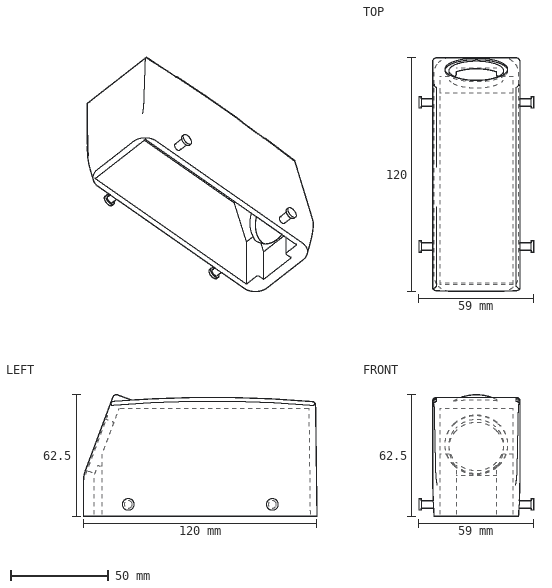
import math

import cadquery as cq

HALF_WIDTH = 22.5
HALF_LENGTH = 60.0
CROWN_HEIGHT = 61.15
CROWN_Y = -6.4
CROWN_RADIUS = 600.0
ROOF_FILLET = 2.0

ABOVE_PART = 70.0
MARGIN = 3.0

BEND_TOP = 23.4
BEND_BOTTOM = 6.8
SIDE_INSET = 0.4

FRONT_DRAFT = math.radians(0.7)
SLOPE_ANGLE = math.radians(20.5)
KNEE_HEIGHT = 21.0
KNEE_RADIUS = 13.3

CORNER_RADIUS_ROOF = 1.1
CORNER_RADIUS_BEND = 1.9
CORNER_FLARE = 3.55
CORNER_OVERCUT = 0.01
BEND_STATIONS = 5

ENTRY_Y = 54.06
BORE_RADIUS = 14.05
BORE_DEPTH = 12.0
SPOTFACE_RADIUS = 16.15
SPOTFACE_DEPTH = 0.84

HUMP_RADIUS = 21.5
HUMP_OFFSET = 6.48
HUMP_LENGTH = 25.0
HUMP_BASE = 13.0
HUMP_BLEND = 1.5

SIDE_WALL = 3.0
ROOF_WALL = 3.5
FRONT_WALL = 3.5
SLOPE_WALL = 5.1
PASSAGE_HALF_WIDTH = 10.3
PASSAGE_START_Y = 50.4
POST_ROUNDING = 1.0

PIN_Y = 37.0
PIN_HEIGHT = 6.1
PIN_RADIUS = 2.0
PIN_END = 29.5
PIN_HEAD_RADIUS = 3.0
PIN_HEAD_LENGTH = 1.3
PIN_EMBED = 2.0

BEND_SPAN = BEND_TOP - BEND_BOTTOM
KNEE_TANGENT = KNEE_RADIUS * math.tan(SLOPE_ANGLE / 2)
KNEE_BOTTOM = KNEE_HEIGHT - KNEE_TANGENT
KNEE_TOP = KNEE_HEIGHT + KNEE_TANGENT * math.cos(SLOPE_ANGLE)
HUMP_HALF_CHORD = math.sqrt(HUMP_RADIUS**2 - HUMP_BASE**2)

ROOF_EDGE_HEIGHT = 55.0
TOLERANCE = 0.001


def bend_drop(z):
    """Fraction of the bend drop: 0 at its top, 1 at its bottom, straight on below."""
    if z >= BEND_TOP:
        return 0.0
    if z >= BEND_BOTTOM:
        return ((BEND_TOP - z) / BEND_SPAN) ** 2
    return 1.0 + 2.0 * (BEND_BOTTOM - z) / BEND_SPAN


def side_x(z):
    return HALF_WIDTH - SIDE_INSET * bend_drop(z)


def front_y(z):
    return -HALF_LENGTH + z * math.tan(FRONT_DRAFT)


def slope_y(z):
    return HALF_LENGTH - (z - KNEE_HEIGHT) * math.tan(SLOPE_ANGLE)


def rear_y(z):
    if z <= KNEE_BOTTOM:
        return HALF_LENGTH
    if z >= KNEE_TOP:
        return slope_y(z)
    return HALF_LENGTH - KNEE_RADIUS + math.sqrt(KNEE_RADIUS**2 - (z - KNEE_BOTTOM) ** 2)


def corner_radius(z):
    if z > BEND_TOP:
        rise = (z - BEND_TOP) / (CROWN_HEIGHT - BEND_TOP)
        return CORNER_RADIUS_BEND + rise * (CORNER_RADIUS_ROOF - CORNER_RADIUS_BEND)
    return CORNER_RADIUS_BEND + CORNER_FLARE * bend_drop(z)


def roof_z(y):
    return CROWN_HEIGHT - CROWN_RADIUS + math.sqrt(CROWN_RADIUS**2 - (y - CROWN_Y) ** 2)


def side_prism():
    """Side outline in the YZ plane, extruded across the width."""
    knee_mid = KNEE_RADIUS * math.sin(SLOPE_ANGLE / 2) + KNEE_BOTTOM
    front_top_y = front_y(CROWN_HEIGHT)
    rear_top_y = slope_y(CROWN_HEIGHT)
    outline = (
        cq.Workplane("YZ")
        .moveTo(front_y(0), 0)
        .lineTo(HALF_LENGTH, 0)
        .lineTo(HALF_LENGTH, KNEE_BOTTOM)
        .threePointArc((rear_y(knee_mid), knee_mid), (slope_y(KNEE_TOP), KNEE_TOP))
        .lineTo(slope_y(roof_z(rear_top_y)), roof_z(rear_top_y))
        .threePointArc((CROWN_Y, CROWN_HEIGHT), (front_top_y, roof_z(front_top_y)))
        .close()
    )
    return outline.extrude(HALF_WIDTH + MARGIN, both=True)


def front_prism():
    """Front outline in the XZ plane, extruded along the length."""
    bend_mid = (BEND_TOP + BEND_BOTTOM) / 2
    outline = (
        cq.Workplane("XZ")
        .moveTo(-side_x(0), 0)
        .lineTo(side_x(0), 0)
        .lineTo(side_x(BEND_BOTTOM), BEND_BOTTOM)
        .threePointArc((side_x(bend_mid), bend_mid), (HALF_WIDTH, BEND_TOP))
        .lineTo(HALF_WIDTH, ABOVE_PART)
        .lineTo(-HALF_WIDTH, ABOVE_PART)
        .lineTo(-HALF_WIDTH, BEND_TOP)
        .threePointArc((-side_x(bend_mid), bend_mid), (-side_x(BEND_BOTTOM), BEND_BOTTOM))
        .close()
    )
    return outline.extrude(HALF_LENGTH + MARGIN, both=True)


def corner_section(z, end_y):
    """Region outside the rounded corner at height z, for the +X side of one end."""
    outward = math.copysign(1.0, end_y)
    radius = corner_radius(z)
    center_x = side_x(z) - radius + CORNER_OVERCUT
    center_y = end_y - outward * (radius - CORNER_OVERCUT)
    diagonal = radius * math.sqrt(0.5)
    side_point = cq.Vector(center_x + radius, center_y, z)
    mid_point = cq.Vector(center_x + diagonal, center_y + outward * diagonal, z)
    end_point = cq.Vector(center_x, center_y + outward * radius, z)
    side_out = side_point + cq.Vector(MARGIN, 0, 0)
    end_out = end_point + cq.Vector(0, outward * MARGIN, 0)
    far_out = cq.Vector(side_out.x, end_out.y, z)
    return cq.Wire.assembleEdges(
        [
            cq.Edge.makeThreePointArc(side_point, mid_point, end_point),
            cq.Edge.makeLine(end_point, end_out),
            cq.Edge.makeLine(end_out, far_out),
            cq.Edge.makeLine(far_out, side_out),
            cq.Edge.makeLine(side_out, side_point),
        ]
    )


def stations(low, high):
    step = (high - low) / (BEND_STATIONS - 1)
    return [low + i * step for i in range(BEND_STATIONS)]


def round_corners(body, end_at, breaks):
    """Cut both corners of one end, one lofted piece between each pair of break heights."""
    for low, high in zip(breaks, breaks[1:]):
        straight = high <= BEND_BOTTOM or low >= BEND_TOP
        heights = [low, high] if straight else stations(low, high)
        sections = [corner_section(z, end_at(z)) for z in heights]
        cutter = cq.Workplane(cq.Solid.makeLoft(sections, straight))
        body = body.cut(cutter).cut(cutter.mirror("YZ"))
    return body


def entry_plane(offset=0.0):
    """Plane on the rear slope, its normal pointing outwards and its Y running up the slope."""
    entry_z = KNEE_HEIGHT + (HALF_LENGTH - ENTRY_Y) / math.tan(SLOPE_ANGLE)
    up_slope = cq.Vector(0, -math.sin(SLOPE_ANGLE), math.cos(SLOPE_ANGLE))
    origin = cq.Vector(0, ENTRY_Y, entry_z) + up_slope * offset
    normal = (0, math.cos(SLOPE_ANGLE), math.sin(SLOPE_ANGLE))
    return cq.Plane(origin=origin, xDir=(-1, 0, 0), normal=normal)


def hump():
    """Segment of a cylinder square to the rear slope, its crest standing out of the roof."""
    return (
        cq.Workplane(entry_plane(HUMP_OFFSET))
        .moveTo(-HUMP_HALF_CHORD, HUMP_BASE)
        .threePointArc((0, HUMP_RADIUS), (HUMP_HALF_CHORD, HUMP_BASE))
        .close()
        .extrude(-HUMP_LENGTH)
    )


def pin():
    profile = (
        cq.Workplane("XY")
        .moveTo(side_x(PIN_HEIGHT) - PIN_EMBED, 0)
        .lineTo(PIN_END, 0)
        .lineTo(PIN_END, PIN_HEAD_RADIUS)
        .lineTo(PIN_END - PIN_HEAD_LENGTH, PIN_HEAD_RADIUS)
        .lineTo(PIN_END - PIN_HEAD_LENGTH, PIN_RADIUS)
        .lineTo(side_x(PIN_HEIGHT) - PIN_EMBED, PIN_RADIUS)
        .close()
    )
    return profile.revolve(360, (0, 0, 0), (1, 0, 0)).translate((0, 0, PIN_HEIGHT))


def cavity():
    """Open space inside the hood, narrowed by two corner posts behind the cable entry."""
    ceiling = roof_z(-HALF_LENGTH) - ROOF_WALL
    inner_shift = SLOPE_WALL / math.cos(SLOPE_ANGLE)
    outline = (
        cq.Workplane("YZ")
        .moveTo(front_y(0) + FRONT_WALL, 0)
        .lineTo(HALF_LENGTH - inner_shift, 0)
        .lineTo(HALF_LENGTH - inner_shift, KNEE_HEIGHT)
        .lineTo(slope_y(ceiling) - inner_shift, ceiling)
        .lineTo(front_y(ceiling) + FRONT_WALL, ceiling)
        .close()
    )
    half_room = side_x(0) - SIDE_WALL
    post = (
        cq.Workplane("XY")
        .box(HALF_WIDTH, HALF_LENGTH, ABOVE_PART, centered=False)
        .edges("|Z and <X and <Y")
        .fillet(POST_ROUNDING)
        .translate((PASSAGE_HALF_WIDTH, PASSAGE_START_Y, 0))
    )
    return outline.extrude(half_room, both=True).cut(post).cut(post.mirror("YZ"))


def on_slope(edge):
    return abs(entry_plane().toLocalCoords(edge.Center()).z) < TOLERANCE


def high_edges(body):
    return [e for e in body.edges().vals() if e.Center().z > ROOF_EDGE_HEIGHT]


def roof_edges(body):
    """Roof edges to round: both long sides, the front, and the rear edge with the hump's rim."""
    edges = high_edges(body)
    rim = [e for e in edges if on_slope(e)]
    front = [e for e in edges if e.Center().y < -HALF_LENGTH + MARGIN]
    sides = [e for e in edges if abs(abs(e.Center().x) - HALF_WIDTH) < TOLERANCE]
    return rim + front + sides


def hump_junction(body):
    """Curved edge where the hump runs out on the roof."""
    return [e for e in high_edges(body) if e.geomType() == "BSPLINE" and not on_slope(e)]


def rounded_hood():
    body = side_prism().intersect(front_prism()).union(hump()).clean()
    body = body.newObject([body.val().fillet(HUMP_BLEND, hump_junction(body))])
    body = body.newObject([body.val().fillet(ROOF_FILLET, roof_edges(body))])
    body = round_corners(body, front_y, [0, BEND_BOTTOM, BEND_TOP, ABOVE_PART])
    return round_corners(body, rear_y, [0, BEND_BOTTOM, KNEE_BOTTOM, BEND_TOP, ABOVE_PART])


def cable_entry():
    """Bore square to the rear slope with a shallow spotface around it."""
    bore = cq.Workplane(entry_plane()).circle(BORE_RADIUS).extrude(-BORE_DEPTH)
    spotface = (
        cq.Workplane(entry_plane())
        .workplane(offset=-SPOTFACE_DEPTH)
        .circle(SPOTFACE_RADIUS)
        .extrude(SPOTFACE_DEPTH + MARGIN)
    )
    return bore.union(spotface)


result = rounded_hood().cut(cavity()).cut(cable_entry())
for pin_y in (-PIN_Y, PIN_Y):
    right_pin = pin().translate((0, pin_y, 0))
    result = result.union(right_pin).union(right_pin.mirror("YZ"))